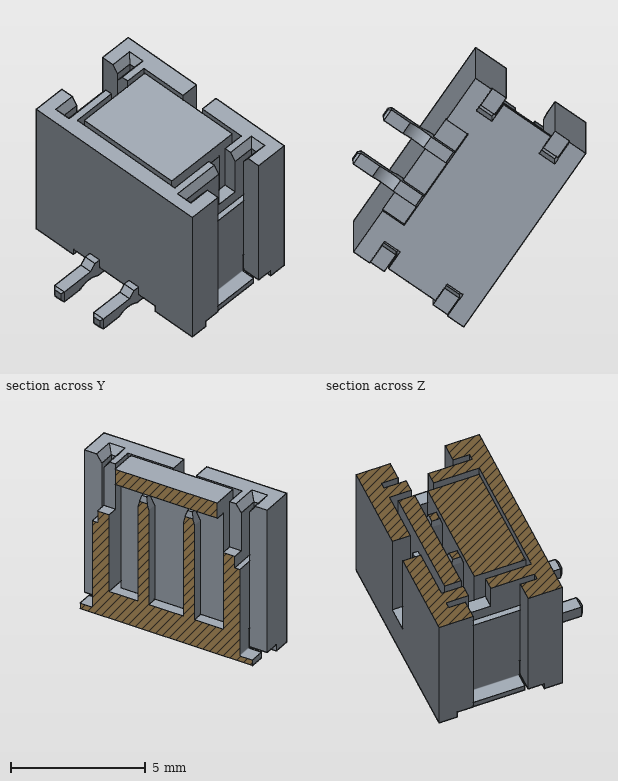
import cadquery as cq

LENGTH = 8.0
DEPTH = 5.0
HEIGHT = 6.58
HALF_LENGTH = LENGTH / 2
FRONT = -DEPTH / 2
BACK = DEPTH / 2

CAVITY_HALF_LENGTH = 2.5
CAVITY_FRONT = -1.86
CAVITY_BACK = 1.76
CAVITY_FLOOR = 1.2
KEY_SLOT_WIDTH = 0.99
SILL_WIDTH = 3.38
SILL_TOP = 1.6

SLOT_OUTER_X = 3.23
SLOT_INNER_X = 3.01
SLOT_WIDTH = 3.55
FLARE_OFFSET = 0.23
FLARE_DEPTH = 0.33
RECESS_WIDTH = 2.21
WINDOW_FRONT = -0.01
WINDOW_BACK = 0.88
WINDOW_SILL = 4.58

TAB_TOP = 4.08
STEM_TOP = 1.1
STEM_WIDTH = 2.14
FOOT_OUTER_X = 3.78
FOOT_HEIGHT = 0.26
BEND_RADIUS = 0.04

RELIEF_HEIGHT = 0.29
SIDE_RELIEF_WIDTH = 3.52
FRONT_RELIEF_WIDTH = 4.19
FRONT_RELIEF_END = -1.52

BLOCK_HALF_LENGTH = 2.24
BLOCK_FRONT = -1.75
BLOCK_BACK = 1.54
BLOCK_PROTRUSION = 0.1
BLOCK_TOP = HEIGHT + BLOCK_PROTRUSION
TUNNEL_FRONT = 0.34
TUNNEL_BACK = 0.86
TUNNEL_TOP = 6.0
RIB_TOP = 4.8
FRONT_RIB_WIDTH = 0.22
BACK_RIB_WIDTH = 0.62

PIN_PITCH = 2.0
PIN_WIDTH = 0.5
PIN_BOTTOM = -0.1
PIN_PROTRUSION = 2.01
PIN_END = FRONT - PIN_PROTRUSION
PIN_SHOULDER_TOP = 0.7
PIN_FOOT_TOP = 0.45
PIN_SHOULDER_END = -2.75
PIN_SLOPE_END = -2.99
PIN_END_CHAMFER = 0.1
ARCH_START = -2.61
ARCH_END = -3.55
ARCH_TOP = 0.06
HEEL_Y = -1.52
HEEL_CHAMFER = 0.08
POST_FRONT = 0.36
POST_BACK = 0.83
POST_SHOULDER = 5.36
POST_TOP = 5.87
POST_TIP_SIZE = 0.21


def box(x_range, y_range, z_range):
    """Box between the given limits along X, Y and Z."""
    low, high = zip(x_range, y_range, z_range)
    sizes = [b - a for a, b in zip(low, high)]
    return cq.Workplane("XY").box(*sizes, centered=False).translate(low)


def both_ends(shape):
    """The shape together with its mirror image at the opposite end of the housing."""
    return shape.union(shape.mirror("YZ"))


def centred(width):
    return (-width / 2, width / 2)


def make_end_cuts():
    """Tab slot, flared mouth, outer recess, contact window and lower relief of the -X end."""
    slot_x = (-SLOT_OUTER_X, -SLOT_INNER_X)
    slot_length = SLOT_OUTER_X - SLOT_INNER_X
    slot = box(slot_x, centred(SLOT_WIDTH), (0, HEIGHT))
    flare = (
        cq.Workplane("XY", origin=(sum(slot_x) / 2, 0, HEIGHT))
        .rect(slot_length + 2 * FLARE_OFFSET, SLOT_WIDTH + 2 * FLARE_OFFSET)
        .workplane(offset=-FLARE_DEPTH)
        .rect(slot_length, SLOT_WIDTH)
        .loft(ruled=True)
    )
    recess = box((-HALF_LENGTH, -SLOT_OUTER_X), centred(RECESS_WIDTH), (0, HEIGHT))
    window = box(
        (-SLOT_OUTER_X, -CAVITY_HALF_LENGTH), (WINDOW_FRONT, WINDOW_BACK), (WINDOW_SILL, HEIGHT)
    )
    relief = box((-HALF_LENGTH, -SLOT_OUTER_X), centred(SIDE_RELIEF_WIDTH), (0, RELIEF_HEIGHT))
    return slot.union(flare).union(recess).union(window).union(relief)


def make_housing():
    body = box((-HALF_LENGTH, HALF_LENGTH), (FRONT, BACK), (0, HEIGHT))
    cavity = box(
        (-CAVITY_HALF_LENGTH, CAVITY_HALF_LENGTH), (CAVITY_FRONT, CAVITY_BACK), (CAVITY_FLOOR, HEIGHT)
    )
    sill = box(centred(SILL_WIDTH), (TUNNEL_BACK, CAVITY_BACK), (CAVITY_FLOOR, SILL_TOP))
    key_slot = box(centred(KEY_SLOT_WIDTH), (CAVITY_BACK, BACK), (SILL_TOP, HEIGHT))
    front_relief = box(centred(FRONT_RELIEF_WIDTH), (FRONT, FRONT_RELIEF_END), (0, RELIEF_HEIGHT))
    body = body.cut(cavity).union(sill).cut(key_slot).cut(front_relief)
    return body.cut(both_ends(make_end_cuts()))


def make_tab():
    """Solder tab of the -X end."""
    slot_x = (-SLOT_OUTER_X, -SLOT_INNER_X)
    plate = box(slot_x, centred(SLOT_WIDTH), (STEM_TOP, TAB_TOP))
    stem = box(slot_x, centred(STEM_WIDTH), (0, STEM_TOP))
    foot = box((-FOOT_OUTER_X, -SLOT_OUTER_X), centred(STEM_WIDTH), (0, FOOT_HEIGHT))
    bend = (
        cq.Workplane("XZ", origin=(-SLOT_OUTER_X, 0, FOOT_HEIGHT))
        .lineTo(0, BEND_RADIUS)
        .radiusArc((-BEND_RADIUS, 0), BEND_RADIUS)
        .close()
        .extrude(STEM_WIDTH / 2, both=True)
    )
    return plate.union(stem).union(foot).union(bend)


def make_block():
    block_x = (-BLOCK_HALF_LENGTH, BLOCK_HALF_LENGTH)
    block = box(block_x, (BLOCK_FRONT, BLOCK_BACK), (CAVITY_FLOOR, BLOCK_TOP))
    tunnel = box(block_x, (TUNNEL_FRONT, TUNNEL_BACK), (CAVITY_FLOOR, TUNNEL_TOP))
    front_rib = box(centred(FRONT_RIB_WIDTH), (CAVITY_FRONT, BLOCK_FRONT), (CAVITY_FLOOR, RIB_TOP))
    back_rib = box(centred(BACK_RIB_WIDTH), (BLOCK_BACK, CAVITY_BACK), (SILL_TOP, RIB_TOP))
    return block.cut(tunnel).union(front_rib).union(back_rib)


def make_pin(x):
    """Contact centred on the given X: arched foot, embedded run, upright post with tapered tip."""
    shank = (
        cq.Workplane("YZ")
        .moveTo(POST_BACK, 0)
        .lineTo(POST_BACK, POST_SHOULDER)
        .lineTo(POST_FRONT, POST_SHOULDER)
        .lineTo(POST_FRONT, PIN_SHOULDER_TOP)
        .lineTo(PIN_SHOULDER_END, PIN_SHOULDER_TOP)
        .lineTo(PIN_SLOPE_END, PIN_FOOT_TOP)
        .lineTo(PIN_END, PIN_FOOT_TOP)
        .lineTo(PIN_END, PIN_BOTTOM)
        .lineTo(ARCH_END, PIN_BOTTOM)
        .threePointArc(((ARCH_START + ARCH_END) / 2, ARCH_TOP), (ARCH_START, PIN_BOTTOM))
        .lineTo(HEEL_Y - HEEL_CHAMFER, PIN_BOTTOM)
        .lineTo(HEEL_Y, 0)
        .close()
        .extrude(PIN_WIDTH / 2, both=True)
        .faces("<Y")
        .chamfer(PIN_END_CHAMFER)
    )
    tip = (
        cq.Workplane("XY", origin=(0, (POST_FRONT + POST_BACK) / 2, POST_SHOULDER))
        .rect(PIN_WIDTH, POST_BACK - POST_FRONT)
        .workplane(offset=POST_TOP - POST_SHOULDER)
        .rect(POST_TIP_SIZE, POST_TIP_SIZE)
        .loft(ruled=True)
    )
    return shank.union(tip).translate((x, 0, 0))


result = make_housing().union(both_ends(make_tab())).union(make_block())
for pin_x in centred(PIN_PITCH):
    result = result.union(make_pin(pin_x))